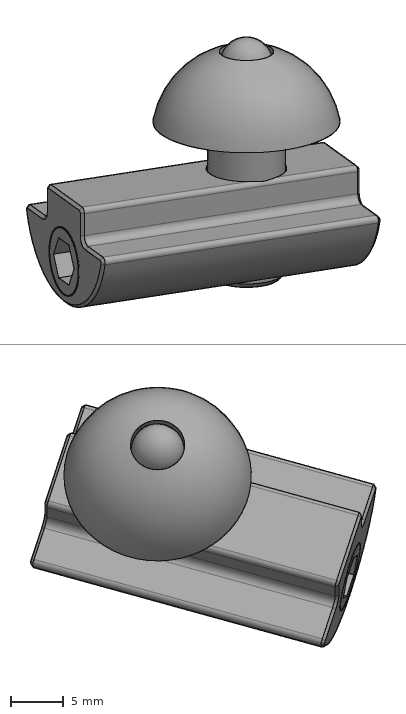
import cadquery as cq
import math

bar_length = 29.0

bar_bottom_z = 0.1
bar_round_radius = 9.0
shelf_z = 7.3
neck_top_z = 10.82
neck_width = 8.0
neck_root_radius = 0.8
edge_radius = 0.5
end_chamfer = 0.3

stud_diameter = 7.35
stud_y = 4.5
stud_bore_diameter = 7.6
stud_tip_height = 0.52
stud_tip_inset = 0.5
flare_height = 0.38
flare_diameter = 7.5

dome_base_z = 15.5
dome_base_diameter = 17.7
dome_sphere_radius = 9.0

overall_height = 23.8
ball_diameter = 5.02
ball_pocket_diameter = 5.1

screw_diameter = 6.65
screw_z = 4.3
screw_rim_chamfer = 0.1
socket_across_flats = 4.0
socket_depth = 3.77
socket_point_angle = 120.0

stud_radius = stud_diameter / 2
screw_head_y = -bar_length / 2
screw_length = stud_y - stud_radius - screw_head_y
ball_center_z = overall_height - ball_diameter / 2


def upright_at_stud(z):
    """Horizontal workplane centred on the stud axis."""
    return cq.Workplane("XY", origin=(0, stud_y, z))


def along_screw():
    """Workplane on the -Y end of the bar, centred on the screw and facing into the bar."""
    return cq.Workplane("XZ", origin=(0, screw_head_y, screw_z)).transformed(rotate=(180, 0, 0))


def make_bar_blank():
    """Extruded bar profile with rounded long edges and chamfered ends."""
    round_center_z = bar_bottom_z + bar_round_radius
    shelf_half_width = math.sqrt(bar_round_radius**2 - (round_center_z - shelf_z) ** 2)
    neck_half_width = neck_width / 2
    blank = (
        cq.Workplane("XZ")
        .moveTo(-shelf_half_width, shelf_z)
        .threePointArc((0, bar_bottom_z), (shelf_half_width, shelf_z))
        .lineTo(neck_half_width, shelf_z)
        .lineTo(neck_half_width, neck_top_z)
        .lineTo(-neck_half_width, neck_top_z)
        .lineTo(-neck_half_width, shelf_z)
        .close()
        .extrude(bar_length / 2, both=True)
    )
    corner_points = [
        (side * half_width, 0, z)
        for side in (-1, 1)
        for half_width, z in ((shelf_half_width, shelf_z), (neck_half_width, neck_top_z))
    ]
    root_points = [(side * neck_half_width, 0, shelf_z) for side in (-1, 1)]
    for point in root_points:
        blank = blank.edges(cq.selectors.NearestToPointSelector(point)).fillet(neck_root_radius)
    for point in corner_points:
        blank = blank.edges(cq.selectors.NearestToPointSelector(point)).fillet(edge_radius)
    return blank.faces("<Y or >Y").chamfer(end_chamfer)


def make_bar():
    """Bar with an upright clearance bore for the stud and a bore along Y for the screw."""
    stud_bore = upright_at_stud(0).circle(stud_bore_diameter / 2).extrude(neck_top_z)
    screw_bore = along_screw().circle(screw_diameter / 2).extrude(stud_y - screw_head_y)
    return make_bar_blank().cut(stud_bore).cut(screw_bore)


def make_stud():
    """Round stud with a tapered tip and a curved flare under the dome."""
    flare_radius = flare_diameter / 2
    flare_step = flare_radius - stud_radius
    flare_arc_radius = (flare_height**2 + flare_step**2) / (2 * flare_step)
    return (
        cq.Workplane("XZ", origin=(0, stud_y, 0))
        .lineTo(stud_radius - stud_tip_inset, 0)
        .lineTo(stud_radius, stud_tip_height)
        .lineTo(stud_radius, dome_base_z - flare_height)
        .radiusArc((flare_radius, dome_base_z), flare_arc_radius)
        .lineTo(0, dome_base_z)
        .close()
        .revolve(360, (0, 0), (0, 1))
    )


def make_dome():
    """Flat-based dome with a blind round pocket for the ball in its top."""
    sphere_center_z = dome_base_z - math.sqrt(dome_sphere_radius**2 - (dome_base_diameter / 2) ** 2)
    above_base = upright_at_stud(dome_base_z).circle(dome_base_diameter).extrude(dome_sphere_radius)
    pocket_floor_z = overall_height - ball_diameter
    pocket = upright_at_stud(pocket_floor_z).circle(ball_pocket_diameter / 2).extrude(ball_diameter)
    return upright_at_stud(sphere_center_z).sphere(dome_sphere_radius).intersect(above_base).cut(pocket)


def make_ball():
    """Ball resting on the floor of the dome pocket."""
    return upright_at_stud(ball_center_z).sphere(ball_diameter / 2)


def make_set_screw():
    """Plain cylinder with a hexagon socket that ends in a conical point."""
    corner_radius = socket_across_flats / math.sqrt(3)
    point_depth = corner_radius / math.tan(math.radians(socket_point_angle / 2))
    hexagon = along_screw().polygon(6, 2 * corner_radius).extrude(socket_depth + point_depth)
    drill_hole = along_screw().circle(corner_radius).extrude(socket_depth)
    drill_point = cq.Workplane(
        cq.Solid.makeCone(
            corner_radius,
            0,
            point_depth,
            cq.Vector(0, screw_head_y + socket_depth, screw_z),
            cq.Vector(0, 1, 0),
        )
    )
    socket = hexagon.intersect(drill_hole.union(drill_point))
    blank = along_screw().circle(screw_diameter / 2).extrude(screw_length)
    return blank.faces("<Y").chamfer(screw_rim_chamfer).cut(socket)


bar = make_bar()
stud = make_stud()
dome = make_dome()
ball = make_ball()
set_screw = make_set_screw()

result = cq.Compound.makeCompound([bar.val(), stud.val(), dome.val(), ball.val(), set_screw.val()])